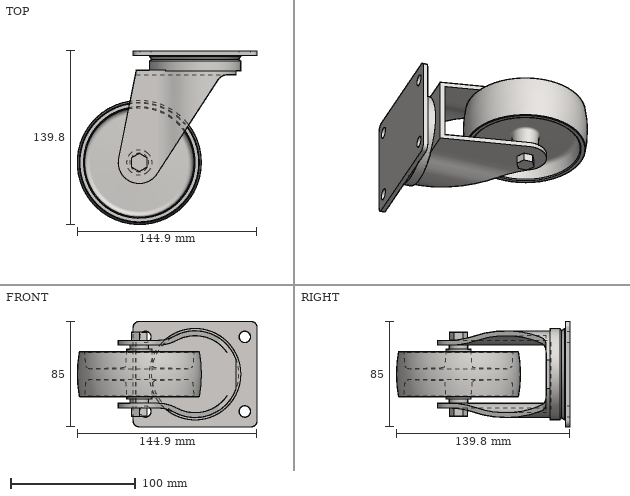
import cadquery as cq
import math


wheel_radius = 50.0
rim_edge_radius = 48.4
wheel_half_width = 18.4
rim_chamfer = 0.6
rim_inner_radius = 44.9
rim_lip_depth = 0.9
recess_wall_radius = 43.3
rim_lip_radius = 44.0
recess_floor_radius = 39.5
floor_height_outer = 4.3
floor_height_inner = 5.2
hub_top_height = 20.1
hub_top_radius = 10.1
hub_base_radius = 10.9
hub_fillet = 2.0

spacer_diameter = 15.0
hex_across_flats = 12.7
hex_end_height = 33.9

plate_length = 99.9
plate_width = 85.0
plate_thickness = 3.8
plate_top = 89.8
plate_corner_radius = 5.0
hole_diameter = 9.0
hole_spacing_x = 80.0
hole_spacing_z = 60.0
swivel_x = 44.9

ring_radius = 73.5 / 2
ring_bottom = 73.7
groove_depth = 1.7
groove_upper = 85.2
groove_middle = 83.0
groove_lower = 81.5

fork_top = 74.3
fork_thickness = 3.9
fork_half_width = 27.2
fork_bend_x = 15.0
skirt_radius = 34.9
fork_end_x = 77.9
fork_front_top_x = -2.5
leg_end_radius = 17.0
rear_edge_angle = 57.0
rear_edge_fillet = 8.7


def make_wheel():
    """Crowned wheel with a dished recess and a hub on both faces."""
    edge_height = wheel_half_width - rim_chamfer
    chamfer_radius = rim_edge_radius - rim_chamfer
    blank = (
        cq.Workplane("XZ")
        .moveTo(0, -wheel_half_width)
        .lineTo(chamfer_radius, -wheel_half_width)
        .lineTo(rim_edge_radius, -edge_height)
        .threePointArc((wheel_radius, 0), (rim_edge_radius, edge_height))
        .lineTo(chamfer_radius, wheel_half_width)
        .lineTo(0, wheel_half_width)
        .close()
        .revolve(360, (0, 0, 0), (0, 1, 0))
    )
    hub = (
        cq.Workplane("XY")
        .circle(hub_top_radius)
        .extrude(hub_top_height, both=True)
    )
    floor_fillet_run = recess_wall_radius - recess_floor_radius
    recess = (
        cq.Workplane("XZ")
        .moveTo(hub_top_radius, wheel_half_width)
        .lineTo(hub_base_radius, floor_height_inner + hub_fillet)
        .radiusArc((hub_base_radius + hub_fillet, floor_height_inner), -hub_fillet)
        .lineTo(recess_floor_radius, floor_height_outer)
        .radiusArc((recess_wall_radius, floor_height_outer + floor_fillet_run), -floor_fillet_run)
        .lineTo(rim_lip_radius, wheel_half_width - rim_lip_depth)
        .lineTo(rim_inner_radius, wheel_half_width)
        .close()
        .revolve(360, (0, 0, 0), (0, 1, 0))
    )
    return blank.cut(recess).cut(recess.mirror("XY")).union(hub)


def make_axle():
    """Spacer between the fork legs and a hexagonal head outside each leg."""
    spacer_half_length = fork_half_width - fork_thickness / 2
    spacer = (
        cq.Workplane("XY")
        .circle(spacer_diameter / 2)
        .extrude(spacer_half_length, both=True)
    )
    hex_bar = (
        cq.Workplane("XY")
        .transformed(rotate=(0, 0, 90))
        .polygon(6, hex_across_flats / math.cos(math.radians(30)))
        .extrude(hex_end_height, both=True)
    )
    return spacer.union(hex_bar)


def make_plate():
    return (
        cq.Workplane("XZ", origin=(swivel_x, plate_top, 0))
        .rect(plate_length, plate_width)
        .extrude(plate_thickness)
        .edges("|Y")
        .fillet(plate_corner_radius)
        .faces("<Y")
        .workplane(origin=(swivel_x, 0, 0))
        .rect(hole_spacing_x, hole_spacing_z, forConstruction=True)
        .vertices()
        .hole(hole_diameter)
    )


def make_swivel_ring():
    """Disc under the plate with a V groove around it."""
    ring_top = plate_top - plate_thickness / 2
    return (
        cq.Workplane("XY", origin=(swivel_x, 0, 0))
        .moveTo(0, ring_bottom)
        .lineTo(ring_radius, ring_bottom)
        .lineTo(ring_radius, groove_lower)
        .lineTo(ring_radius - groove_depth, groove_middle)
        .lineTo(ring_radius, groove_upper)
        .lineTo(ring_radius, ring_top)
        .lineTo(0, ring_top)
        .close()
        .revolve(360, (0, 0, 0), (0, 1, 0))
    )


def fork_plan(inset, bottom, top):
    """Prism of the fork's plan outline, offset inward by inset, between two Y levels."""
    half_width = fork_half_width - inset
    round_radius = skirt_radius - inset
    run = swivel_x - fork_bend_x
    bend_radius = (run**2 + half_width**2 - round_radius**2) / (2 * (round_radius - half_width))
    share = round_radius / (round_radius + bend_radius)
    tangent_x = swivel_x - share * run
    tangent_z = share * (half_width + bend_radius)
    front_x = -2 * leg_end_radius
    plane = cq.Plane(origin=(0, bottom, 0), xDir=(1, 0, 0), normal=(0, 1, 0))
    return (
        cq.Workplane(plane)
        .moveTo(front_x, half_width)
        .lineTo(fork_bend_x, half_width)
        .radiusArc((tangent_x, tangent_z), -bend_radius)
        .threePointArc((swivel_x + round_radius, 0), (tangent_x, -tangent_z))
        .radiusArc((fork_bend_x, -half_width), -bend_radius)
        .lineTo(front_x, -half_width)
        .close()
        .extrude(top - bottom)
    )


def make_side_shape():
    """Side outline of the fork: tapered legs with a round end and a short tail at the top."""
    web_bottom = fork_top - fork_thickness
    corner_distance = math.hypot(fork_front_top_x, fork_top)
    front_angle = math.atan2(fork_top, fork_front_top_x) + math.acos(leg_end_radius / corner_distance)
    front_x = leg_end_radius * math.cos(front_angle)
    front_y = leg_end_radius * math.sin(front_angle)
    slope = math.radians(rear_edge_angle)
    rear_x = leg_end_radius * math.sin(slope)
    rear_y = -leg_end_radius * math.cos(slope)
    rear_top_x = rear_x + (web_bottom - rear_y) / math.tan(slope)
    side = (
        cq.Workplane("XY")
        .moveTo(fork_front_top_x, fork_top)
        .lineTo(front_x, front_y)
        .threePointArc((0, -leg_end_radius), (rear_x, rear_y))
        .lineTo(rear_top_x, web_bottom)
        .lineTo(fork_end_x, web_bottom)
        .lineTo(fork_end_x, fork_top)
        .close()
        .extrude(skirt_radius + fork_thickness, both=True)
    )
    corner = cq.selectors.NearestToPointSelector((rear_top_x, web_bottom, 0))
    return side.edges("|Z").edges(corner).fillet(rear_edge_fillet)


def make_fork():
    """Bent-sheet fork: a web under the swivel ring and two legs that flare into a round skirt."""
    outer = fork_plan(0, -2 * leg_end_radius, fork_top)
    inner = fork_plan(fork_thickness, -2 * leg_end_radius, fork_top - fork_thickness)
    return outer.cut(inner).intersect(make_side_shape())


result = (
    make_plate()
    .union(make_swivel_ring())
    .union(make_fork())
    .union(make_axle())
    .union(make_wheel())
)